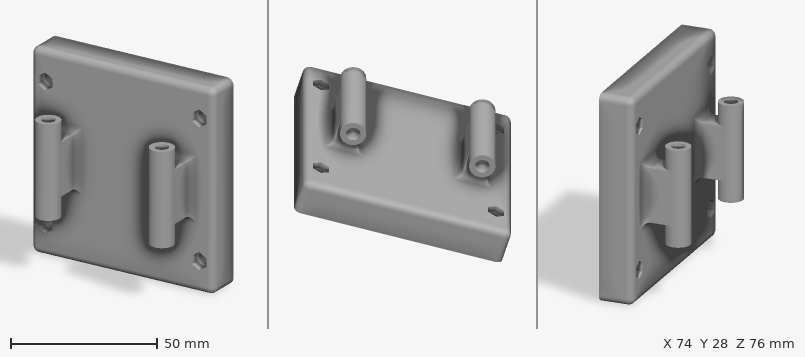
import cadquery as cq

PLATE_WIDTH = 74.0
PLATE_HEIGHT = 76.0
PLATE_DEPTH = 12.55
OVERALL_DEPTH = 28.0
EDGE_RADIUS = 2.5

HOLE_DIAMETER = 4.0
HOLE_SPACING_X = 62.3
HOLE_SPACING_Z = 52.6
NUT_ACROSS_FLATS = 5.7
NUT_ACROSS_CORNERS = NUT_ACROSS_FLATS / 0.75 ** 0.5
NUT_DEPTH = 2.3

TUBE_DIAMETER = 9.0
TUBE_BORE = 5.0
TUBE_LENGTH = 35.5
TUBE_SPACING = 46.0
TUBE_AXIS_Y = TUBE_DIAMETER / 2 - (OVERALL_DEPTH - PLATE_DEPTH)
TUBE_POSITIONS = (-TUBE_SPACING / 2, TUBE_SPACING / 2)

LUG_WIDTH = TUBE_DIAMETER
LUG_HEIGHT = 20.0
FLARE_RADIUS = 2.5


def flared_profile(plane, width):
    """Outline of a lug from the tube axis to the plate, with a concave flare on each side."""
    half = width / 2
    arc_offset = FLARE_RADIUS * (1 - 0.5 ** 0.5)
    return (
        cq.Workplane(plane)
        .moveTo(-half, TUBE_AXIS_Y)
        .lineTo(half, TUBE_AXIS_Y)
        .lineTo(half, -FLARE_RADIUS)
        .threePointArc((half + arc_offset, -arc_offset), (half + FLARE_RADIUS, 0))
        .lineTo(-half - FLARE_RADIUS, 0)
        .threePointArc((-half - arc_offset, -arc_offset), (-half, -FLARE_RADIUS))
        .close()
    )


def make_lug(x):
    """Lug with mitred flares on all four sides and a round seat for its tube."""
    side_plane = cq.Plane(origin=(0, 0, 0), xDir=(0, 0, 1), normal=(-1, 0, 0))
    across = flared_profile("XY", LUG_WIDTH).extrude(LUG_HEIGHT / 2 + FLARE_RADIUS, both=True)
    upright = flared_profile(side_plane, LUG_HEIGHT).extrude(LUG_WIDTH / 2 + FLARE_RADIUS, both=True)
    seat = (
        cq.Workplane("XY", origin=(0, TUBE_AXIS_Y, -TUBE_LENGTH / 2))
        .circle(TUBE_DIAMETER / 2)
        .extrude(TUBE_LENGTH)
    )
    return across.intersect(upright).cut(seat).translate((x, 0, 0))


def make_plate():
    """Rounded plate with nut pockets, screw holes and two lugs."""
    plate = (
        cq.Workplane("XY")
        .box(PLATE_WIDTH, PLATE_DEPTH, PLATE_HEIGHT)
        .translate((0, PLATE_DEPTH / 2, 0))
        .edges("|Y or <Y")
        .fillet(EDGE_RADIUS)
    )
    hole_centres = cq.Workplane("XZ").rect(HOLE_SPACING_X, HOLE_SPACING_Z, forConstruction=True).vertices()
    holes = hole_centres.circle(HOLE_DIAMETER / 2).extrude(-PLATE_DEPTH)
    nut_pockets = (
        cq.Workplane("XZ")
        .transformed(rotate=(0, 0, 90))
        .rect(HOLE_SPACING_Z, HOLE_SPACING_X, forConstruction=True)
        .vertices()
        .polygon(6, NUT_ACROSS_CORNERS)
        .extrude(-NUT_DEPTH)
    )
    plate = plate.cut(holes).cut(nut_pockets)
    for x in TUBE_POSITIONS:
        plate = plate.union(make_lug(x))
    return plate


def make_tube(x):
    """Straight hinge tube seated in a lug."""
    return (
        cq.Workplane("XY", origin=(x, TUBE_AXIS_Y, -TUBE_LENGTH / 2))
        .circle(TUBE_DIAMETER / 2)
        .circle(TUBE_BORE / 2)
        .extrude(TUBE_LENGTH)
    )


plate = make_plate()
tubes = [make_tube(x) for x in TUBE_POSITIONS]

result = cq.Compound.makeCompound([*plate.solids().vals(), *[tube.val() for tube in tubes]])